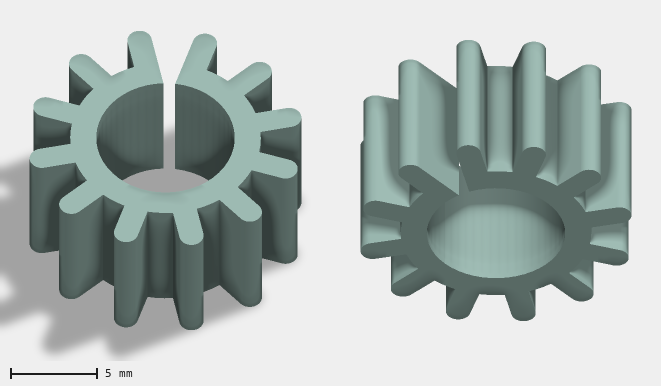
import cadquery as cq
import math

outer_radius = 8.0
hub_radius = 5.5
bore_radius = 4.0
height = 8.0
tooth_width = 1.4
tooth_count = 12

tooth_pitch = 360.0 / tooth_count
first_tooth_angle = 90.0
tip_center = outer_radius - tooth_width / 2


def make_tooth(angle):
    """Radial tooth with a full-round tip, starting at the axis."""
    bar = cq.Workplane("XY").center(tip_center / 2, 0).rect(tip_center, tooth_width).extrude(height)
    tip = cq.Workplane("XY").center(tip_center, 0).circle(tooth_width / 2).extrude(height)
    return bar.union(tip).rotate((0, 0, 0), (0, 0, 1), angle)


def make_split():
    """Wedge bounded by the facing flanks of the first two teeth, continued into the bore."""
    half_pitch = math.radians(tooth_pitch / 2)
    apex = tooth_width / 2 / math.sin(half_pitch)
    half_opening = (outer_radius - apex) * math.tan(half_pitch)
    wedge = (
        cq.Workplane("XY")
        .moveTo(apex, 0)
        .lineTo(outer_radius, -half_opening)
        .lineTo(outer_radius, half_opening)
        .close()
        .extrude(height)
    )
    return wedge.rotate((0, 0, 0), (0, 0, 1), first_tooth_angle + tooth_pitch / 2)


body = cq.Workplane("XY").circle(hub_radius).extrude(height)
for index in range(tooth_count):
    body = body.union(make_tooth(first_tooth_angle + index * tooth_pitch))

bore = cq.Workplane("XY").circle(bore_radius).extrude(height)
result = body.cut(bore).cut(make_split())